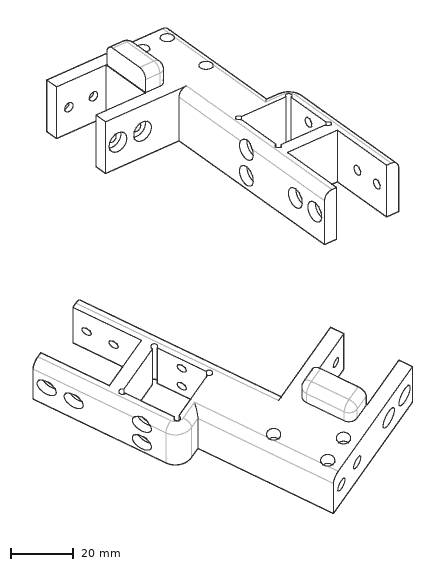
import cadquery as cq

length = 105.0
depth = 60.0
body_height = 20.0
fork_width = 30.2
rail_width = 30.1
tube_gap = 20.3
end_wall = 4.7
arm_wall = 5.0
rail_left = 50.0
web_back = 50.0
rail_corner_radius = 6.0
top_fillet = 3.0
arm_slot_depth = 20.1

rail_front = depth - rail_width
rail_middle = depth - rail_width / 2
window_left = rail_left + end_wall
window_center = window_left + tube_gap / 2
rail_slot_left = window_left + tube_gap + end_wall
relief_radius = 1.0

tab_width = 20.0
tab_setback = 0.2
tab_thickness = 8.8
tab_height = 8.1
tab_fillet = 3.0

hole_pitch = 10.0
edge_offset = 5.0
mid_height = body_height / 2
screw_diameter = 3.4
rail_head_diameter = 7.0
arm_head_diameter = 7.1
head_depth = 3.0
pin_diameter = 4.5
pin_depth = 5.0
pin_spacing = 20.0


def make_body():
    """L-shaped block with one rounded corner and rounded long top edges."""
    web = cq.Workplane("XY").box(length, web_back - rail_front, body_height, centered=False)
    web = web.translate((0, rail_front, 0))
    rail = cq.Workplane("XY").box(length - rail_left, rail_width, body_height, centered=False)
    rail = rail.translate((rail_left, rail_front, 0))
    rail = rail.edges("|Z and <X and >Y").fillet(rail_corner_radius)
    arms = cq.Workplane("XY").box(fork_width, web_back, body_height, centered=False)
    body = web.union(rail).union(arms).clean()

    def is_rounded(edge):
        middle = edge.Center()
        on_arms = middle.x <= fork_width and middle.y < web_back - top_fillet
        return not on_arms and middle.x < length - top_fillet

    top_edges = body.faces(">Z").edges().vals()
    rounded = [edge for edge in top_edges if is_rounded(edge)]
    return body.newObject(rounded).fillet(top_fillet)


def cut_slots(body):
    """Cut the two open fork slots and the square window with its corner reliefs."""
    arm_slot = cq.Workplane("XY").box(tube_gap, arm_slot_depth, body_height, centered=False)
    arm_slot = arm_slot.translate((arm_wall, 0, 0))
    rail_slot = (
        cq.Workplane("XY")
        .center((rail_slot_left + length) / 2, rail_middle)
        .rect(length - rail_slot_left, tube_gap)
        .extrude(body_height)
    )
    window_plane = cq.Workplane("XY").center(window_center, rail_middle)
    window = window_plane.rect(tube_gap, tube_gap).extrude(body_height)
    reliefs = (
        window_plane.rect(tube_gap, tube_gap, forConstruction=True)
        .vertices()
        .circle(relief_radius)
        .extrude(body_height)
    )
    return body.cut(arm_slot).cut(rail_slot).cut(window).cut(reliefs)


def make_tab():
    """Stop tab rounded on its back, side and top edges, with a sharp front face."""
    tab = cq.Workplane("XY").box(tab_width, tab_thickness, body_height + tab_height, centered=False)
    tab = tab.edges("(|Z and >Y) or (>Z and (not <Y))").fillet(tab_fillet)
    above_body = cq.Workplane("XY").box(length, depth, body_height + tab_height, centered=False)
    tab = tab.intersect(above_body.translate((0, 0, body_height)))
    tab_left = arm_wall + (tube_gap - tab_width) / 2
    return tab.translate((tab_left, arm_slot_depth + tab_setback, 0))


def bore(start, direction, diameter, bore_depth):
    """Cylinder of the given depth running from a start point along a direction."""
    cylinder = cq.Solid.makeCylinder(diameter / 2, bore_depth, cq.Vector(*start), cq.Vector(*direction))
    return cq.Workplane(cylinder)


def drill_rail_screws(body):
    """Screw holes across both rail walls, counterbored on the outer faces."""
    end_screw = length - edge_offset
    places = [
        (window_center, edge_offset),
        (window_center, edge_offset + hole_pitch),
        (end_screw - hole_pitch, mid_height),
        (end_screw, mid_height),
    ]
    for x, z in places:
        body = body.cut(bore((x, rail_front, z), (0, 1, 0), screw_diameter, rail_width))
        body = body.cut(bore((x, rail_front, z), (0, 1, 0), rail_head_diameter, head_depth))
        body = body.cut(bore((x, depth, z), (0, -1, 0), rail_head_diameter, head_depth))
    return body


def drill_arm_screws(body):
    """Screw holes across both arms, counterbored on the outer faces."""
    for y in (edge_offset, edge_offset + hole_pitch):
        body = body.cut(bore((0, y, mid_height), (1, 0, 0), screw_diameter, fork_width))
        body = body.cut(bore((0, y, mid_height), (1, 0, 0), arm_head_diameter, head_depth))
        body = body.cut(bore((fork_width, y, mid_height), (-1, 0, 0), arm_head_diameter, head_depth))
    return body


def drill_pin_holes(body):
    """Blind pin holes in the top and in the left side of the web."""
    back_row = web_back - edge_offset
    front_row = back_row - hole_pitch
    left_column = arm_wall
    right_column = left_column + pin_spacing
    for x, y in ((left_column, back_row), (right_column, back_row), (left_column, front_row)):
        body = body.cut(bore((x, y, body_height), (0, 0, -1), pin_diameter, pin_depth))
    for y in (back_row, front_row):
        body = body.cut(bore((0, y, mid_height), (1, 0, 0), pin_diameter, pin_depth))
    return body


result = cut_slots(make_body()).union(make_tab())
result = drill_rail_screws(result)
result = drill_arm_screws(result)
result = drill_pin_holes(result)